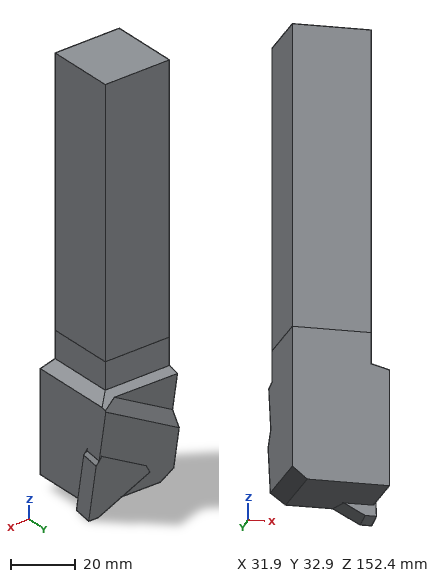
import cadquery as cq
import math

total_height = 152.4
shank_size = 25.1
joint_z = 54.1

head_width = 31.0
head_bottom = 4.9
shoulder_z = 44.0
shoulder_angle = math.radians(15)
corner_run = 4.7
corner_rise = 3.8

lean_angle = math.radians(10)
yaw_angle = math.radians(0.6)
back_y_at_base = 25.5
head_depth = 36.6

ridge_angle = math.radians(30)
ridge_start = 24.5
recess_depth = 4.1
recess_draft = 42.0
overshoot = 30.5

insert_right = 31.9
insert_thickness = 6.4
triangle_side = 27.9
tip_width = 3.7

back_plane = cq.Plane(
    origin=(insert_right, back_y_at_base, 0),
    xDir=(-1, math.tan(yaw_angle), 0),
    normal=(math.tan(yaw_angle), 1, -math.tan(lean_angle)),
)


def make_shank():
    return (
        cq.Workplane("XY", origin=(0, 0, joint_z))
        .rect(shank_size, shank_size)
        .extrude(total_height - joint_z)
        .translate((shank_size / 2, shank_size / 2, 0))
    )


def shouldered_outline(plane, full_width):
    """Outline that widens from the shank size to full_width below a sloping shoulder."""
    shoulder_drop = (full_width - shank_size) * math.tan(shoulder_angle)
    return cq.Workplane(plane).polyline([
        (0, head_bottom),
        (full_width, head_bottom),
        (full_width, shoulder_z - shoulder_drop),
        (shank_size, shoulder_z),
        (shank_size, joint_z),
        (0, joint_z),
    ]).close()


def make_recess_cutter():
    """Everything above the diagonal ridge, with its wall sloping into the recess."""
    left = insert_right + overshoot
    right = -overshoot
    slope = math.tan(ridge_angle)
    left_height = ridge_start - overshoot * slope
    right_height = ridge_start + (insert_right + overshoot) * slope
    top_height = right_height + overshoot
    return (
        cq.Workplane(back_plane)
        .polyline([(left, left_height), (right, right_height), (right, top_height), (left, top_height)])
        .close()
        .extrude(-recess_depth, taper=recess_draft)
    )


def make_head():
    side_profile = shouldered_outline("YZ", head_depth).extrude(head_width)
    front_profile = shouldered_outline("XZ", head_width).extrude(-head_depth)
    head = side_profile.intersect(front_profile)

    behind = cq.Workplane(back_plane).rect(2 * total_height, 2 * total_height).extrude(overshoot)
    head = head.cut(behind)

    bevel = (
        cq.Workplane("XZ")
        .polyline([
            (0, head_bottom),
            (corner_run, head_bottom),
            (0, head_bottom + corner_rise),
        ])
        .close()
        .extrude(-head_depth)
    )
    return head.cut(bevel).cut(make_recess_cutter())


def make_insert():
    """Triangular plate; each corner is cut square to one of its two sides."""
    near_cut = tip_width / math.sqrt(3)
    far_cut = 2 * near_cut
    corner_height = -near_cut
    lower = (0, corner_height)
    upper = (0, corner_height + triangle_side)
    left = (triangle_side * math.sqrt(3) / 2, corner_height + triangle_side / 2)

    outline = []
    corners = [lower, upper, left]
    for start, end in zip(corners, corners[1:] + corners[:1]):
        for distance in (near_cut, triangle_side - far_cut):
            share = distance / triangle_side
            outline.append((
                start[0] + share * (end[0] - start[0]),
                start[1] + share * (end[1] - start[1]),
            ))
    return cq.Workplane(back_plane).polyline(outline).close().extrude(-insert_thickness)


shank = make_shank()
insert = make_insert()
head = make_head().cut(insert)

result = cq.Compound.makeCompound([shank.val(), head.val(), insert.val()])